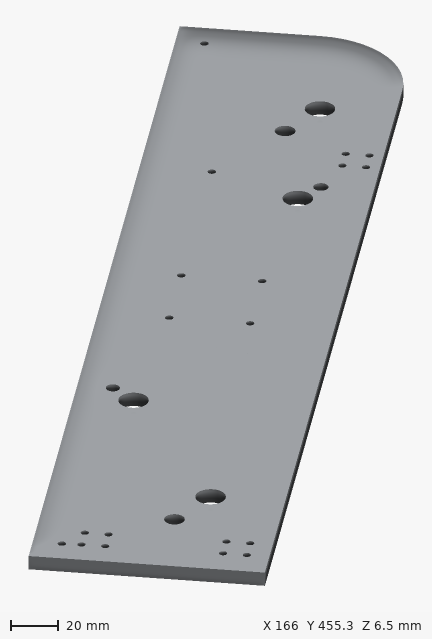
import cadquery as cq
import math

width = 100.0
thickness = 6.5
corner_radius = 40.0
tilt = 8.56

span_x = 166.0
span_y = 456.0
sin_tilt = math.sin(math.radians(tilt))
cos_tilt = math.cos(math.radians(tilt))
length = (span_x - width * cos_tilt) / sin_tilt

large_diameter = 12.8
medium_diameter = 8.5
upper_pilot_diameter = 6.5
lower_pilot_diameter = 6.0
screw_diameter = 3.55
pin_diameter = 3.4

large_centres = [(68.0, 391.0), (69.5, 314.5), (25.0, 136.5), (68.5, 60.0)]
medium_centres = [(56.0, 370.5), (56.0, 39.0)]
upper_pilot_centre = (77.5, 325.5)
lower_pilot_centre = (15.0, 145.5)
single_screw_centres = [(12.5, 438.5), (30.5, 332.0), (12.5, 12.5)]

pin_pitch = 10.0
pin_group_corners = [(20.5, 12.8), (80.3, 13.5), (84.0, 344.8)]
screw_group_corner = (30.0, 207.5)
screw_pitch_x = 34.0
screw_pitch_y = 36.0


def four_hole_group(corner, pitch_x, pitch_y):
    """Centres of a two by two group of holes."""
    x, y = corner
    return [(x + i * pitch_x, y + j * pitch_y) for i in range(2) for j in range(2)]


def drill(body, centres, diameter):
    """Cut round holes through the full thickness."""
    cutters = cq.Workplane("XY").pushPoints(centres).circle(diameter / 2).extrude(thickness)
    return body.cut(cutters)


plate = cq.Workplane("XY").box(width, length, thickness, centered=False)
plate = plate.edges("|Z and >X and >Y").fillet(corner_radius)

plate = drill(plate, large_centres, large_diameter)
plate = drill(plate, medium_centres, medium_diameter)
plate = drill(plate, [upper_pilot_centre], upper_pilot_diameter)
plate = drill(plate, [lower_pilot_centre], lower_pilot_diameter)

screw_centres = single_screw_centres + four_hole_group(screw_group_corner, screw_pitch_x, screw_pitch_y)
plate = drill(plate, screw_centres, screw_diameter)
for group_corner in pin_group_corners:
    plate = drill(plate, four_hole_group(group_corner, pin_pitch, pin_pitch), pin_diameter)

plate = plate.rotate((0, 0, 0), (0, 0, 1), tilt)
result = plate.translate((length * sin_tilt - span_x / 2, -span_y / 2, -thickness / 2))